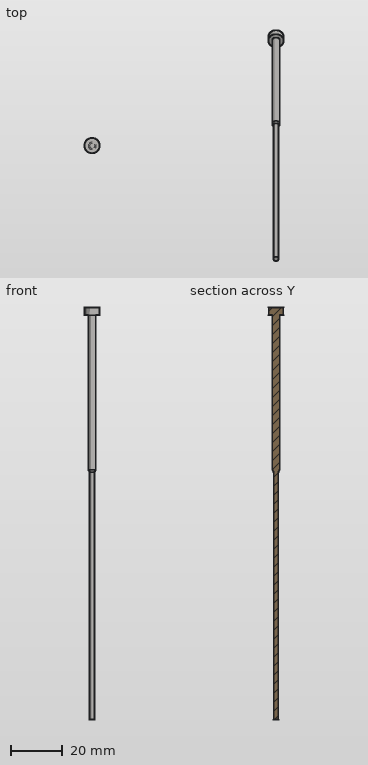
import cadquery as cq
import math

total_length = 160.0
head_diameter = 6.0
head_height = 3.0
shank_diameter = 3.0
shank_length = 60.0
tip_diameter = 2.0
taper_half_angle = 30.0

head_radius = head_diameter / 2
shank_radius = shank_diameter / 2
tip_radius = tip_diameter / 2
taper_height = (shank_radius - tip_radius) / math.tan(math.radians(taper_half_angle))

head_underside_z = total_length - head_height
shank_bottom_z = head_underside_z - shank_length
taper_bottom_z = shank_bottom_z - taper_height


def stepped_pin():
    """Revolve the half profile on the -X side about the Z axis."""
    profile = (
        cq.Workplane("XZ")
        .moveTo(0, 0)
        .lineTo(-tip_radius, 0)
        .lineTo(-tip_radius, taper_bottom_z)
        .lineTo(-shank_radius, shank_bottom_z)
        .lineTo(-shank_radius, head_underside_z)
        .lineTo(-head_radius, head_underside_z)
        .lineTo(-head_radius, total_length)
        .lineTo(0, total_length)
        .close()
    )
    return profile.revolve(360, (0, 0, 0), (0, 1, 0))


result = stepped_pin()